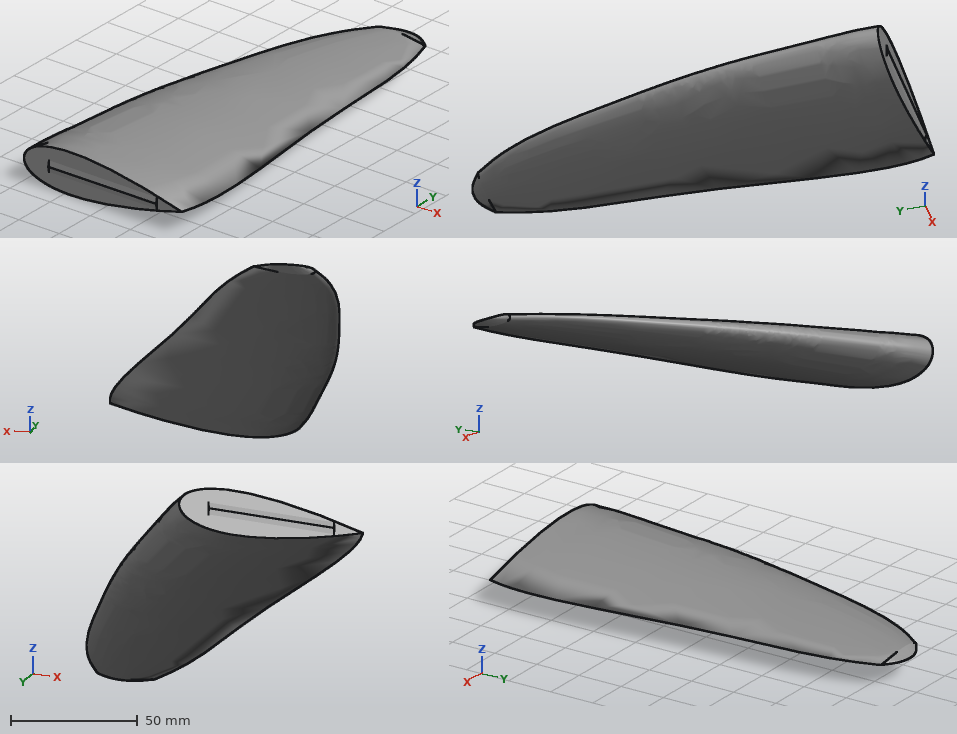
import cadquery as cq
import math

span = 181.7
cap_start = 176.3
root_thickness = 10.4
cap_thickness = 2.2
end_thickness = 0.1

pad_start = 12.5
pad_length = 53.8
pad_width = 5.0
pad_height = 0.5
root_y = pad_height

blade_stations = [
    (root_y, 0.0, 78.9),
    (22.7, 0.4, 81.6),
    (55.6, 2.9, 79.0),
    (95.0, 9.3, 74.5),
    (128.0, 17.0, 72.3),
    (154.3, 25.6, 69.8),
    (167.5, 32.7, 66.9),
    (cap_start, 39.0, 64.2),
]
cap_stations = [
    blade_stations[-1],
    (179.0, 43.0, 60.5),
    (180.6, 46.2, 57.6),
    (span, 50.2, 53.8),
]

root_term = 2.698
power_terms = [-1.15, -3.195, 2.5835, -0.941]
profile_steps = 8


def half_thickness(fraction):
    """Half the section thickness, per unit thickness, at a fraction of the chord."""
    powers = sum(term * fraction ** (i + 1) for i, term in enumerate(power_terms))
    return root_term * math.sqrt(fraction) + powers


def interpolate(y, start, end, value_start, value_end):
    """Value at y on the straight taper between two stations."""
    return value_start + (value_end - value_start) * (y - start) / (end - start)


def airfoil_wire(y, leading, trailing, thickness):
    """Closed airfoil outline in the plane at y, with a sharp trailing edge."""
    chord = trailing - leading
    fractions = [1 - math.cos(math.pi / 2 * i / profile_steps) for i in range(profile_steps)] + [1.0]
    heights = [thickness * half_thickness(f) for f in fractions[:-1]] + [0.0]
    upper = [cq.Vector(leading + chord * f, y, h) for f, h in zip(fractions, heights)]
    lower = [cq.Vector(p.x, y, -p.z) for p in upper]
    outline = cq.Edge.makeSpline(upper[::-1] + lower[1:])
    return cq.Wire.assembleEdges([outline])


def loft_stations(stations, thickness_start, thickness_end):
    """Solid through the stations, its thickness tapering evenly along the span."""
    first, last = stations[0][0], stations[-1][0]
    wires = [
        airfoil_wire(y, lead, trail, interpolate(y, first, last, thickness_start, thickness_end))
        for y, lead, trail in stations
    ]
    return cq.Workplane(cq.Solid.makeLoft(wires))


def root_pad():
    """Shallow roof-shaped pad with its crest on the chord plane."""
    half = pad_width / 2
    return (
        cq.Workplane("YZ", origin=(pad_start, 0, 0))
        .polyline([(root_y, -half), (0, 0), (root_y, half)])
        .close()
        .extrude(pad_length)
    )


blade = loft_stations(blade_stations, root_thickness, cap_thickness)
cap = loft_stations(cap_stations, cap_thickness, end_thickness)
result = blade.union(cap).union(root_pad())